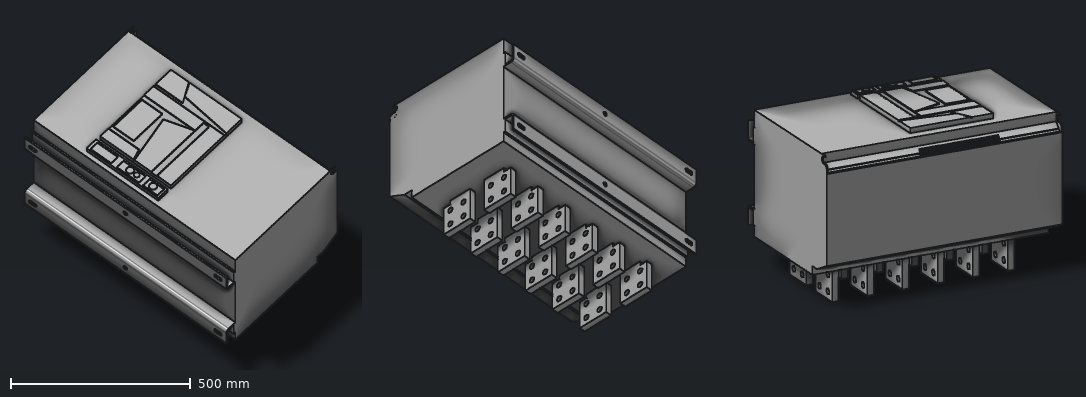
import cadquery as cq


case_width = 740.0
case_depth = 436.0
case_height = 376.0
side_plate = 4.0
half_width = case_width / 2

notch_width = 21.0
notch_floor = 351.0
notch_depth = 28.0
horn_setback = 11.0
rear_corner_radius = 10.0

foot_rear = 351.0
foot_height = 26.0
taper_run = 58.0
taper_top = 53.0

slope_rear = case_depth - 10.0
slope_step = case_depth - 15.5
slope_front = case_depth - 31.0
slope_top = 348.0
step_drop = 2.0
vent_count = 31
vent_pitch = 8.0
vent_width = 4.0
vent_depth = 6.0
vent_front = case_depth - 24.5
vent_rear = slope_rear - 1.0
vent_center = -57.0

rail_reach = 39.0
rail_sheet = 6.0
rail_bend_inside = 5.0
rail_flange = 60.0
rail_pad = 50.0
upper_rail = 272.0
lower_rail = 83.0
rail_hole_offset = 34.0
rail_hole_diameter = 13.0
rail_slot_length = 28.0
rail_slot_width = 12.5
rail_slot_spacing = 679.0

bar_count = 6
bar_pitch = 110.0
bar_thickness = 21.0
bar_length = 109.0
bar_width = 101.5
bar_neck_width = 75.5
bar_shoulder = 13.0
bar_inner_sides = (207.0, 153.0)
bar_hole_diameter = 17.0
bar_hole_pitch = 50.0
bar_hole_edge = 25.0
bar_hole_rise = 24.5

cover_base = 12.5
cover_relief = 3.0
cover_left = -186.0
cover_right = 74.0
cover_front = 69.5
cover_rear = 371.5
lower_panel_rear = 298.0
upper_panel_front = 306.0
upper_panel_fold = 327.0
handle_left = 1.5
handle_right = 22.0
handle_rear = 293.0
handle_corner = 4.5
recess_rear = 257.0
recess_front = 106.0
label_width = 75.5
label_depth = 122.0
label_left = -180.5
label_front = 119.0

strip_base = 12.5
strip_relief = 1.5
strip_left = -189.0
strip_front = 15.5
strip_depth = 40.0
window_front = 20.0
window_depth = 29.0
windows = ((-178.0, 75.5), (-82.0, 81.5), (14.0, 52.5))
buttons = ((-46.5, 23.0), (-22.0, 17.0), (38.0, 23.0))
button_y = 35.5


def block(left, front, bottom, width, depth, height):
    """Box given by its lowest corner and its size along X, Y and Z."""
    return cq.Workplane("XY").box(width, depth, height, centered=False).translate((left, front, bottom))


def across(profile, left, width):
    """Extrude a closed YZ polygon along X from its left face."""
    return cq.Workplane("YZ", origin=(left, 0, 0)).polyline(profile).close().extrude(width)


def plate(outline, bottom, height):
    """Extrude a closed XY polygon upward."""
    return cq.Workplane("XY", origin=(0, 0, bottom)).polyline(outline).close().extrude(height)


def slope_height(y):
    """Height of the 45 degree vented slope, before its step."""
    return slope_top - (y - slope_front)


def make_case():
    notch_radius = notch_width / 2
    notch_end = case_depth - notch_depth + notch_radius
    notch_top = notch_floor + notch_width
    side = (
        cq.Workplane("YZ", origin=(-half_width, 0, 0))
        .lineTo(foot_rear, 0)
        .lineTo(foot_rear, foot_height)
        .lineTo(case_depth - taper_run, foot_height)
        .lineTo(case_depth, taper_top)
        .lineTo(case_depth, notch_floor - rear_corner_radius)
        .radiusArc((case_depth - rear_corner_radius, notch_floor), -rear_corner_radius)
        .lineTo(notch_end, notch_floor)
        .threePointArc((notch_end - notch_radius, notch_floor + notch_radius), (notch_end, notch_top))
        .lineTo(case_depth - horn_setback, notch_top)
        .lineTo(case_depth - horn_setback, case_height)
        .lineTo(0, case_height)
        .close()
        .extrude(case_width)
    )
    ledge = slope_height(slope_rear) - step_drop
    rear_space = [
        (slope_front, case_height),
        (slope_front, slope_top),
        (slope_step, slope_height(slope_step)),
        (slope_step, slope_height(slope_step) - step_drop),
        (slope_rear, ledge),
        (case_depth, ledge),
        (case_depth, case_height),
    ]
    return side.cut(across(rear_space, side_plate - half_width, case_width - 2 * side_plate))


def make_vents():
    opening = [
        (vent_front, slope_height(vent_front) - vent_depth),
        (vent_front, slope_top),
        (vent_rear, slope_top),
        (vent_rear, slope_height(vent_rear) - vent_depth),
    ]
    vents = cq.Workplane("XY")
    for index in range(vent_count):
        center = vent_center + (index - (vent_count - 1) / 2) * vent_pitch
        vents = vents.add(across(opening, center - vent_width / 2, vent_width))
    return vents.combine()


def make_rail(web, direction):
    """Bent rail whose flanges point up (direction 1) or down (direction -1) from the web's outer side."""
    def level(offset):
        return web + direction * offset

    profile = [
        (0, web),
        (-rail_reach, web),
        (-rail_reach, level(rail_flange)),
        (rail_sheet - rail_reach, level(rail_flange)),
        (rail_sheet - rail_reach, level(rail_sheet)),
        (-rail_sheet, level(rail_sheet)),
        (-rail_sheet, level(rail_pad)),
        (0, level(rail_pad)),
    ]
    rail = across(profile, -half_width, case_width)
    outer_bend = cq.selectors.NearestToPointSelector((0, -rail_reach, web))
    rail = rail.edges(outer_bend).fillet(rail_bend_inside + rail_sheet)
    inner_bend = cq.selectors.NearestToPointSelector((0, rail_sheet - rail_reach, level(rail_sheet)))
    rail = rail.edges(inner_bend).fillet(rail_bend_inside)

    flange = cq.Workplane("XZ", origin=(0, rail_sheet - rail_reach, level(rail_hole_offset)))
    hole = flange.circle(rail_hole_diameter / 2).extrude(rail_sheet)
    slots = (
        flange.rarray(rail_slot_spacing, 7.5, 2, 1)
        .slot2D(rail_slot_length, rail_slot_width)
        .extrude(rail_sheet)
    )
    return rail.cut(hole).cut(slots)


def make_bar(x, inner_side, direction):
    """Drilled terminal bar that widens away from inner_side below its neck."""
    def out(offset):
        return inner_side + direction * offset

    profile = [
        (inner_side, 0),
        (inner_side, -bar_length),
        (out(bar_width), -bar_length),
        (out(bar_width), -bar_shoulder),
        (out(bar_neck_width), -bar_shoulder),
        (out(bar_neck_width), 0),
    ]
    left = x - bar_thickness / 2
    hole_y = out(bar_hole_edge + bar_hole_pitch / 2)
    hole_z = -bar_length + bar_hole_rise + bar_hole_pitch / 2
    holes = (
        cq.Workplane("YZ", origin=(left, hole_y, hole_z))
        .rarray(bar_hole_pitch, bar_hole_pitch, 2, 2)
        .circle(bar_hole_diameter / 2)
        .extrude(bar_thickness)
    )
    return across(profile, left, bar_thickness).cut(holes)


def make_cover():
    width = cover_right - cover_left
    base = block(cover_left, cover_front, case_height, width, cover_rear - cover_front, cover_base)
    floor = case_height + cover_base

    corner_panel = [
        (cover_left, upper_panel_front),
        (-86.5, upper_panel_front),
        (-120.5, cover_rear),
        (cover_left, cover_rear),
    ]
    wedge_panel = [
        (-97.0, upper_panel_fold),
        (cover_right, upper_panel_front),
        (cover_right, cover_rear),
        (-118.0, cover_rear),
    ]

    panel_depth = lower_panel_rear - cover_front
    front_panel = block(cover_left, cover_front, floor, width, panel_depth, cover_relief)
    recess = [
        (cover_left, recess_rear),
        (handle_left, recess_rear),
        (-91.0, 229.0),
        (-61.0, cover_front),
        (-64.0, cover_front),
        (-74.0, recess_front),
        (cover_left, recess_front),
    ]
    handle_width = handle_right - handle_left
    handle = block(handle_left, cover_front, floor, handle_width, handle_rear - cover_front, cover_relief)
    handle = handle.edges("|Z and >X and >Y").fillet(handle_corner)
    front_panel = front_panel.cut(plate(recess, floor, cover_relief)).cut(handle)

    label = block(label_left, label_front, floor, label_width, label_depth, cover_relief)
    cover = base.union(plate(corner_panel, floor, cover_relief))
    cover = cover.union(plate(wedge_panel, floor, cover_relief))
    return cover.union(front_panel).union(label)


def make_control_strip():
    strip = block(strip_left, strip_front, case_height, cover_right - strip_left, strip_depth, strip_base)
    window_floor = case_height + strip_base
    for left, width in windows:
        strip = strip.union(block(left, window_front, window_floor, width, window_depth, strip_relief))
    for center, diameter in buttons:
        seat = cq.Workplane("XY", origin=(center, button_y, window_floor))
        strip = strip.union(seat.circle(diameter / 2).extrude(2 * strip_relief))
    return strip


result = make_case().cut(make_vents())
result = result.union(make_rail(upper_rail, 1)).union(make_rail(lower_rail, -1))
for bar_index in range(bar_count):
    bar_x = (bar_index - (bar_count - 1) / 2) * bar_pitch
    for bar_side, bar_direction in zip(bar_inner_sides, (1, -1)):
        result = result.union(make_bar(bar_x, bar_side, bar_direction))
result = result.union(make_cover()).union(make_control_strip())